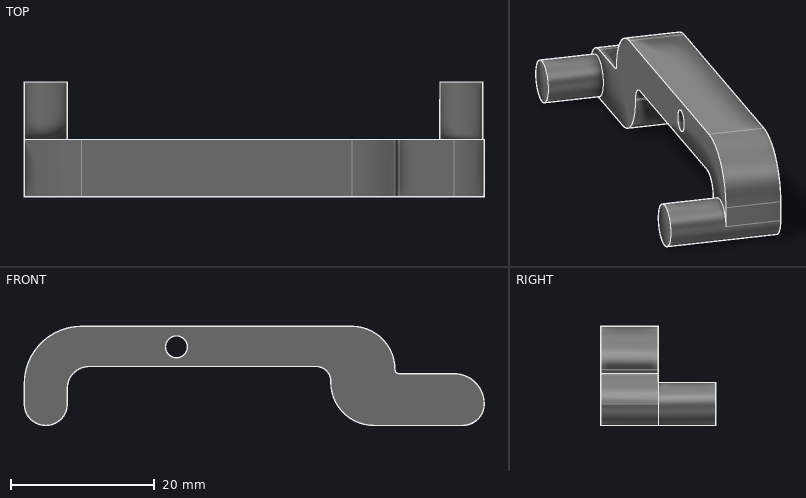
import cadquery as cq

length = 64.0
height = 13.8
body_depth = 8.0
pin_length = 8.0

pin_radius = 3.0
leg_width = 2 * pin_radius
bar_thickness = 5.6
bar_bottom = height - bar_thickness
left_outer_radius = 8.0
left_inner_radius = 3.0

bend_left = 42.6
bend_right = 51.6
bend_radius = 6.0
inner_bend_radius = 2.0
foot_top = 7.2
step_fillet = 0.6
foot_bottom_radius = 3.0
foot_top_radius = foot_top - foot_bottom_radius

hole_radius = 1.505
hole_x = 21.2
hole_z = 10.95
right_pin_x = 60.8


def make_body():
    """Bent bar: the outline is drawn clockwise from the left leg, then extruded toward +Y."""
    outline = (
        cq.Workplane("XZ")
        .moveTo(0, pin_radius)
        .lineTo(0, height - left_outer_radius)
        .radiusArc((left_outer_radius, height), left_outer_radius)
        .lineTo(bend_right - bend_radius, height)
        .radiusArc((bend_right, height - bend_radius), bend_radius)
        .radiusArc((bend_right + step_fillet, foot_top), -step_fillet)
        .lineTo(length - foot_top_radius, foot_top)
        .radiusArc((length, foot_bottom_radius), foot_top_radius)
        .radiusArc((length - foot_bottom_radius, 0), foot_bottom_radius)
        .lineTo(bend_left + bend_radius, 0)
        .radiusArc((bend_left, bend_radius), bend_radius)
        .lineTo(bend_left, bar_bottom - inner_bend_radius)
        .radiusArc((bend_left - inner_bend_radius, bar_bottom), -inner_bend_radius)
        .lineTo(leg_width + left_inner_radius, bar_bottom)
        .radiusArc((leg_width, bar_bottom - left_inner_radius), -left_inner_radius)
        .lineTo(leg_width, pin_radius)
        .threePointArc((pin_radius, 0), (0, pin_radius))
        .close()
    )
    return outline.extrude(-body_depth)


def make_cylinder(x, z, radius, depth):
    """Cylinder along +Y, starting at the front face."""
    return cq.Workplane("XZ").center(x, z).circle(radius).extrude(-depth)


result = make_body()

for pin_x in (pin_radius, right_pin_x):
    result = result.union(make_cylinder(pin_x, pin_radius, pin_radius, body_depth + pin_length))

result = result.cut(make_cylinder(hole_x, hole_z, hole_radius, body_depth))